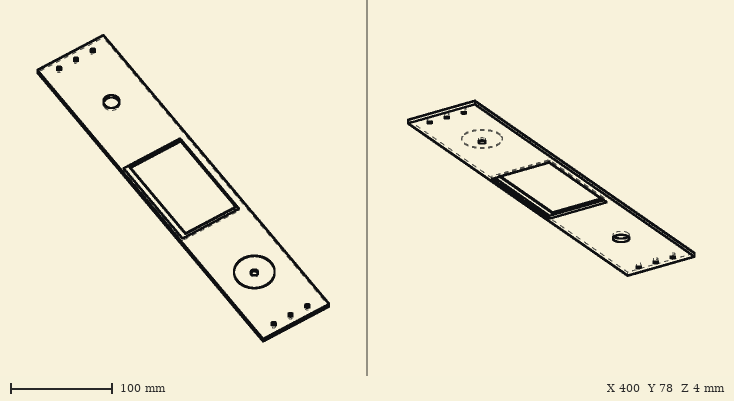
import cadquery as cq

length = 400.0
width = 78.0
thickness = 4.0

window_length = 98.0
window_width = 60.0

rebate_end_margin = 3.0
rebate_front_margin = 5.5
rebate_back_margin = 1.0
lip_thickness = 1.0

mount_diameter = 4.5
mount_end_margin = 10.0
mount_pitch = 20.0
mounts_per_row = 3

round_hole_diameter = 16.0
round_hole_x = -127.0

recess_diameter = 40.0
recess_depth = 1.0
recess_hole_diameter = 7.0
recess_x = 126.0


def drill(x, y, diameter):
    """Cutter for a round hole through the full thickness."""
    return cq.Workplane("XY").center(x, y).circle(diameter / 2).extrude(thickness)


plate = cq.Workplane("XY").box(length, width, thickness, centered=(True, True, False))

window = cq.Workplane("XY").rect(window_length, window_width).extrude(thickness)
plate = plate.cut(window)

rebate_length = window_length + 2 * rebate_end_margin
rebate_width = window_width + rebate_front_margin + rebate_back_margin
rebate_y = (rebate_back_margin - rebate_front_margin) / 2
rebate = (
    cq.Workplane("XY")
    .center(0, rebate_y)
    .rect(rebate_length, rebate_width)
    .extrude(thickness - lip_thickness)
)
plate = plate.cut(rebate)

mount_row_x = length / 2 - mount_end_margin
for row_x in (-mount_row_x, mount_row_x):
    for index in range(mounts_per_row):
        mount_y = (index - (mounts_per_row - 1) / 2) * mount_pitch
        plate = plate.cut(drill(row_x, mount_y, mount_diameter))

plate = plate.cut(drill(round_hole_x, 0, round_hole_diameter))

recess = (
    cq.Workplane("XY")
    .workplane(offset=thickness - recess_depth)
    .center(recess_x, 0)
    .circle(recess_diameter / 2)
    .extrude(recess_depth)
)
plate = plate.cut(recess)
plate = plate.cut(drill(recess_x, 0, recess_hole_diameter))

result = plate